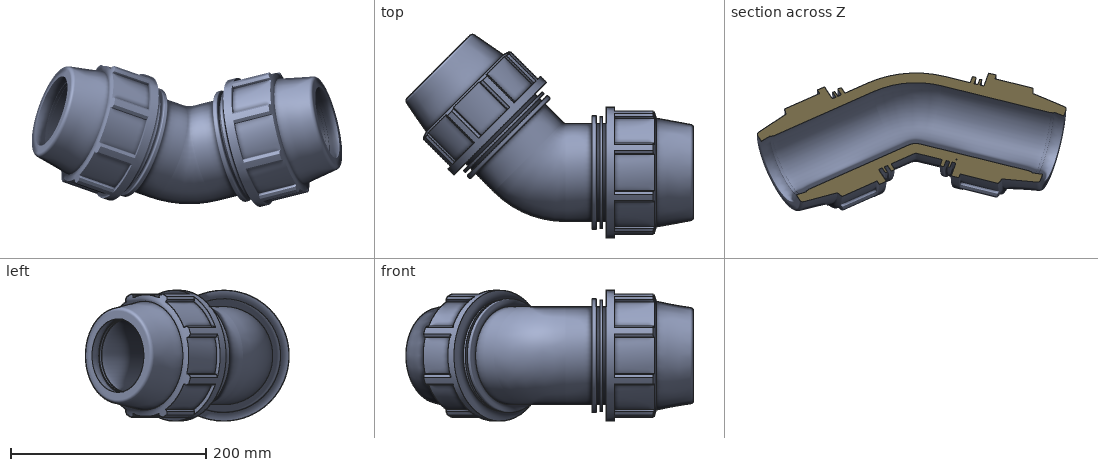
import cadquery as cq
import math

BEND_ANGLE = 45.0
BEND_RADIUS = 53.1
TUBE_RADIUS = 100.5 / 2
BORE_RADIUS = 75.0 / 2

ARM_LENGTH = 131.0

LARGE_COLLAR_START = 26.9
LARGE_COLLAR_WIDTH = 4.6
LARGE_COLLAR_RADIUS = 116.58 / 2
LARGE_COLLAR_FILLET = 1.0
SMALL_COLLAR_START = 35.0
SMALL_COLLAR_WIDTH = 2.8
SMALL_COLLAR_RADIUS = 114.25 / 2

NUT_START = 41.5
FLANGE_WIDTH = 8.7
FLANGE_RADIUS = 134.0 / 2
GRIP_END = 89.2
GRIP_FLOOR_RADIUS = 62.2
NOSE_START = 92.8
NOSE_BASE_RADIUS = 55.7
NOSE_TIP_RADIUS = 48.7
NOSE_FILLET = 3.7

RIB_COUNT = 8
RIB_HALF_ANGLE = 5.2
RIB_BEVEL = 2.5

MOUTH_RADIUS = BORE_RADIUS
MOUTH_DEPTH = 11.2
MOUTH_INNER_RADIUS = BORE_RADIUS + 1.5
SEAT_LENGTH = 2.9
SEAT_RADIUS = BORE_RADIUS + 0.5

GRIP_START = NUT_START + FLANGE_WIDTH


def disc(start, width, radius):
    """Solid cylinder on the X axis."""
    return cq.Workplane("YZ").workplane(offset=start).circle(radius).extrude(width)


def revolved(points):
    """Solid of revolution about X from (x, radius) points."""
    return cq.Workplane("XY").polyline(points).close().revolve(360, (0, 0), (1, 0))


def make_ribs():
    """Star of bevelled ribs along the grip, each a wedge from the axis out to the crest."""
    shoulder_radius = FLANGE_RADIUS - RIB_BEVEL
    half_width = shoulder_radius * math.tan(math.radians(RIB_HALF_ANGLE))
    crest_half_width = half_width - RIB_BEVEL
    rib = (
        cq.Workplane("YZ")
        .workplane(offset=GRIP_START)
        .polyline(
            [
                (0, 0),
                (shoulder_radius, -half_width),
                (FLANGE_RADIUS, -crest_half_width),
                (FLANGE_RADIUS, crest_half_width),
                (shoulder_radius, half_width),
            ]
        )
        .close()
        .extrude(NOSE_START - GRIP_START)
    )
    pitch = 360.0 / RIB_COUNT
    ribs = cq.Workplane("YZ")
    for index in range(RIB_COUNT):
        ribs = ribs.add(rib.rotate((0, 0, 0), (1, 0, 0), (index + 0.5) * pitch))
    return ribs.combine()


def make_nut():
    envelope = revolved(
        [
            (NUT_START, 0),
            (NUT_START, FLANGE_RADIUS),
            (GRIP_END, FLANGE_RADIUS),
            (NOSE_START, NOSE_BASE_RADIUS),
            (NOSE_START, 0),
        ]
    )
    grip_length = NOSE_START - GRIP_START
    recesses = (
        disc(GRIP_START, grip_length, FLANGE_RADIUS)
        .cut(disc(GRIP_START, grip_length, GRIP_FLOOR_RADIUS))
        .cut(make_ribs())
    )
    nose = revolved(
        [
            (NOSE_START, 0),
            (NOSE_START, NOSE_BASE_RADIUS),
            (ARM_LENGTH, NOSE_TIP_RADIUS),
            (ARM_LENGTH, 0),
        ]
    )
    nose = nose.faces(">X").edges().fillet(NOSE_FILLET)
    return envelope.cut(recesses).union(nose)


def make_arm():
    large_collar = disc(LARGE_COLLAR_START, LARGE_COLLAR_WIDTH, LARGE_COLLAR_RADIUS)
    large_collar = large_collar.edges().fillet(LARGE_COLLAR_FILLET)
    small_collar = disc(SMALL_COLLAR_START, SMALL_COLLAR_WIDTH, SMALL_COLLAR_RADIUS)
    tube = disc(0, NUT_START, TUBE_RADIUS)
    return tube.union(large_collar).union(small_collar).union(make_nut())


def make_arm_bore():
    mouth_end = ARM_LENGTH - MOUTH_DEPTH
    seat_end = mouth_end - SEAT_LENGTH
    return revolved(
        [
            (0, 0),
            (0, BORE_RADIUS),
            (seat_end, BORE_RADIUS),
            (seat_end, SEAT_RADIUS),
            (mouth_end, SEAT_RADIUS),
            (mouth_end, MOUTH_INNER_RADIUS),
            (ARM_LENGTH, MOUTH_RADIUS),
            (ARM_LENGTH, 0),
        ]
    )


def bend(radius):
    """Round bar following the bend, from the origin towards -X and +Y."""
    return cq.Workplane("YZ").circle(radius).revolve(BEND_ANGLE, (BEND_RADIUS, 1), (BEND_RADIUS, 0))


def both_arms(arm):
    """The given +X arm and its twin at the far end of the bend."""
    twin = arm.mirror("YZ").rotate((0, BEND_RADIUS, 0), (0, BEND_RADIUS, 1), -BEND_ANGLE)
    return arm, twin


result = bend(TUBE_RADIUS)
for arm in both_arms(make_arm()):
    result = result.union(arm)
result = result.cut(bend(BORE_RADIUS))
for bore in both_arms(make_arm_bore()):
    result = result.cut(bore)